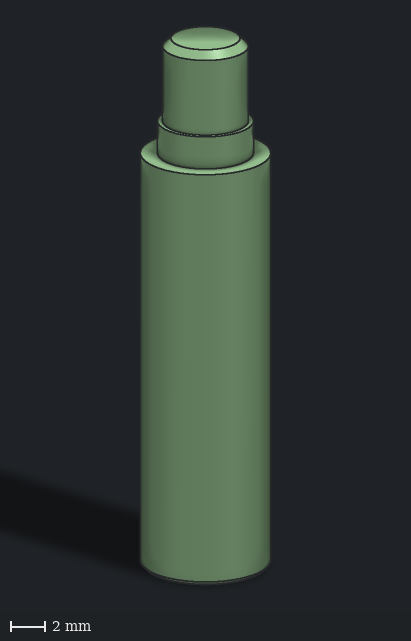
import cadquery as cq

total_height = 32.5
body_diameter = 7.6
body_height = 25.4
body_chamfer = 0.25
collar_diameter = 5.6
collar_height = 1.98
tip_diameter = 5.0
tip_chamfer = 0.5

tip_height = total_height - body_height - collar_height


def make_body():
    """Main shank with a small chamfer around its bottom edge."""
    body = cq.Workplane("XY").circle(body_diameter / 2).extrude(body_height)
    return body.faces("<Z").chamfer(body_chamfer)


def add_collar(part):
    """Short shoulder above the shank."""
    return part.faces(">Z").workplane().circle(collar_diameter / 2).extrude(collar_height)


def add_tip(part):
    """Narrow end of the pin with a chamfered top edge."""
    part = part.faces(">Z").workplane().circle(tip_diameter / 2).extrude(tip_height)
    return part.faces(">Z").chamfer(tip_chamfer)


result = add_tip(add_collar(make_body()))